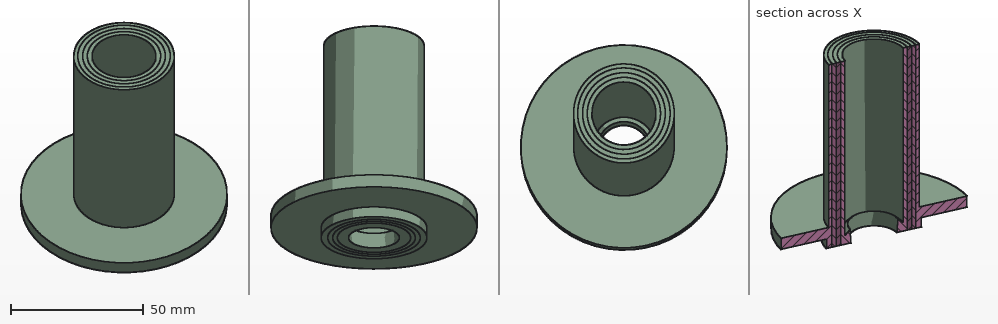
import cadquery as cq

total_height = 79.0
flange_diameter = 78.0
flange_thickness = 5.0
boss_diameter = 40.0
boss_height = 4.0
tube_diameter = 38.1

housing_bore = 35.0
outer_sleeve_bore = 31.3
middle_sleeve_bore = 27.7
inner_sleeve_bore = 24.2

outlet_top_diameter = 20.0
outlet_bottom_diameter = 19.2
nozzle_base_height = boss_height
nozzle_cone_height = (inner_sleeve_bore - outlet_top_diameter) / 2


def cylinder(diameter, height, bottom=0):
    """Upright cylinder on the Z axis."""
    return cq.Workplane("XY").workplane(offset=bottom).circle(diameter / 2).extrude(height)


def make_housing():
    """Outer tube with its flange, bottom boss and straight bore."""
    boss = cylinder(boss_diameter, boss_height)
    flange = cylinder(flange_diameter, flange_thickness, boss_height)
    tube = cylinder(tube_diameter, total_height)
    return tube.union(boss).union(flange).cut(cylinder(housing_bore, total_height))


def make_sleeve(outer_diameter, bore):
    """Straight sleeve open at both ends."""
    return cylinder(outer_diameter, total_height).cut(cylinder(bore, total_height))


def make_nozzle_sleeve(outer_diameter, bore):
    """Innermost sleeve, with the nozzle and its tapered outlet at the bottom."""
    rim_height = nozzle_base_height + nozzle_cone_height
    half_profile = (
        cq.Workplane("XZ")
        .moveTo(outlet_bottom_diameter / 2, 0)
        .lineTo(outer_diameter / 2, 0)
        .lineTo(outer_diameter / 2, total_height)
        .lineTo(bore / 2, total_height)
        .lineTo(bore / 2, nozzle_base_height)
        .lineTo(outlet_top_diameter / 2, rim_height)
        .close()
    )
    return half_profile.revolve(360, (0, 0, 0), (0, 1, 0))


housing = make_housing()

outer_sleeve = make_sleeve(housing_bore, outer_sleeve_bore)
middle_sleeve = make_sleeve(outer_sleeve_bore, middle_sleeve_bore)
inner_sleeve = make_nozzle_sleeve(middle_sleeve_bore, inner_sleeve_bore)

result = cq.Compound.makeCompound(
    [housing.val(), outer_sleeve.val(), middle_sleeve.val(), inner_sleeve.val()]
)